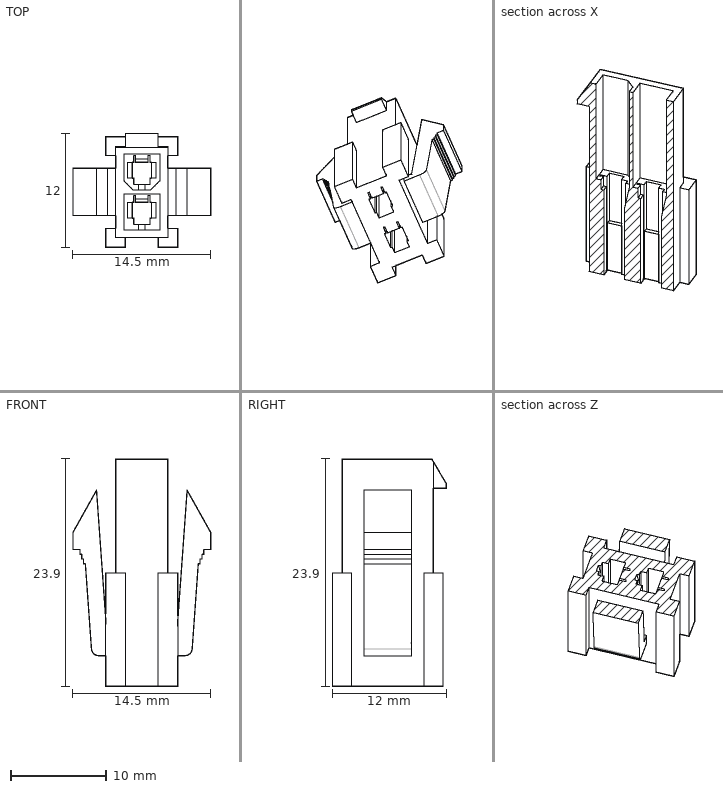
import cadquery as cq
import math

overall_width = 14.5
overall_depth = 12.0

body_width = 5.5
body_depth = 9.6
body_height = 23.9

rail_span_x = 7.6
rail_span_y = 11.66
rail_width = 2.08
rail_depth = 2.0
rail_height = 11.95

clip_length = 5.0
clip_reach = overall_width / 2
clip_base_z = 3.23
clip_base_top_z = 4.6
clip_tip_x = 4.75
clip_tip_z = 20.67
clip_shoulder_z = 16.2
clip_lean = math.radians(4.1)
clip_fillet = 0.8
hook_bottom_z = 14.39
step_outer_x = 6.52
step_width = 0.2
step_height = 0.5
step_count = 3

latch_width = rail_span_x - 2 * rail_width
latch_reach = overall_depth - rail_span_y / 2
latch_tip_z = 21.35
latch_bottom_z = 20.85
bevel_depth = 0.15

pocket_size = 3.78
pocket_pitch = 4.2
pocket_depth = 11.95
pocket_chamfer = 0.95

passage_width = 2.0
passage_front_y = -0.65
passage_back_y = 1.0
neck_width = 1.67
neck_front_y = -1.31
ledge_width = 2.96
ledge_drop = 5.98
slot_width = 0.17
slot_back_y = 1.72
tongue_step_y = 1.35
tongue_step_drop = 1.2
groove_width = 0.72
groove_depth = 2.87

floor_z = body_height - pocket_depth


def box(x_min, x_max, y_min, y_max, z_min, z_max):
    size = (x_max - x_min, y_max - y_min, z_max - z_min)
    return cq.Workplane("XY").box(*size, centered=False).translate((x_min, y_min, z_min))


def centred_box(width, y_min, y_max, z_min, z_max):
    return box(-width / 2, width / 2, y_min, y_max, z_min, z_max)


def side_extrusion(points, width):
    """Extrude a (Y, Z) outline along X, centred on X = 0."""
    return cq.Workplane("YZ").polyline(points).close().extrude(width / 2, both=True)


def make_body():
    body = centred_box(body_width, -body_depth / 2, body_depth / 2, 0, body_height)
    for side_x in (-1, 1):
        for side_y in (-1, 1):
            rail = cq.Workplane("XY").box(rail_width, rail_depth, rail_height)
            x = side_x * (rail_span_x - rail_width) / 2
            y = side_y * (rail_span_y - rail_depth) / 2
            body = body.union(rail.translate((x, y, rail_height / 2)))
    return body


def make_clip():
    """Clip on the +X side: foot, leaning arm and stepped hook."""
    slope = math.tan(clip_lean)
    foot_inner_x = clip_tip_x - slope * (clip_tip_z - clip_base_top_z)
    steps_inner_x = step_outer_x - step_count * step_width
    steps_bottom_z = hook_bottom_z - step_count * step_height
    foot_outer_x = steps_inner_x - slope * (steps_bottom_z - clip_base_z)

    outline = [
        (0, clip_base_z),
        (0, clip_base_top_z),
        (foot_inner_x, clip_base_top_z),
        (clip_tip_x, clip_tip_z),
        (clip_reach, clip_shoulder_z),
        (clip_reach, hook_bottom_z),
    ]
    for step in range(step_count):
        x = step_outer_x - step * step_width
        z = hook_bottom_z - step * step_height
        outline += [(x, z), (x, z - step_height)]
    outline += [(steps_inner_x, steps_bottom_z), (foot_outer_x, clip_base_z)]

    clip = cq.Workplane("XZ").polyline(outline).close().extrude(clip_length / 2, both=True)
    return clip.edges("|Y").edges("<Z").edges(">X").fillet(clip_fillet)


def make_latch():
    back_y = body_depth / 2
    outline = [
        (back_y - bevel_depth, body_height),
        (latch_reach, latch_tip_z),
        (latch_reach, latch_bottom_z),
        (back_y - bevel_depth, latch_bottom_z),
    ]
    return side_extrusion(outline, latch_width)


def make_bevel_cut():
    back_y = body_depth / 2
    slope = (body_height - latch_tip_z) / (latch_reach - back_y + bevel_depth)
    outline = [
        (back_y - bevel_depth, body_height),
        (back_y, body_height),
        (back_y, body_height - bevel_depth * slope),
    ]
    return side_extrusion(outline, body_width)


def make_passage():
    """Stepped opening from the pocket floor to the underside of the housing."""
    passage = centred_box(passage_width, passage_front_y, passage_back_y, 0, floor_z)
    neck = centred_box(neck_width, neck_front_y, passage_back_y, 0, floor_z)
    ledges = centred_box(ledge_width, passage_front_y, passage_back_y, floor_z - ledge_drop, floor_z)
    passage = passage.union(neck).union(ledges)

    for side in (-1, 1):
        slot_x = side * (neck_width - slot_width) / 2
        slot = centred_box(slot_width, passage_back_y, slot_back_y, 0, floor_z)
        passage = passage.union(slot.translate((slot_x, 0, 0)))
    tongue_step = centred_box(neck_width, passage_back_y, tongue_step_y, floor_z - tongue_step_drop, floor_z)
    passage = passage.union(tongue_step)

    groove = side_extrusion(
        [
            (-pocket_size / 2, floor_z),
            (neck_front_y, floor_z),
            (neck_front_y, floor_z - groove_depth),
        ],
        groove_width,
    )
    return passage.union(groove)


def make_cavity(chamfered):
    half = pocket_size / 2
    pocket = centred_box(pocket_size, -half, half, floor_z, body_height)
    if chamfered:
        pocket = pocket.edges("|Z and <Y").chamfer(pocket_chamfer)
    return pocket.union(make_passage())


clip = make_clip()
result = make_body().union(clip).union(clip.mirror("YZ"))
result = result.cut(make_bevel_cut()).union(make_latch())

result = result.cut(make_cavity(chamfered=True).translate((0, pocket_pitch / 2, 0)))
result = result.cut(make_cavity(chamfered=False).translate((0, -pocket_pitch / 2, 0)))